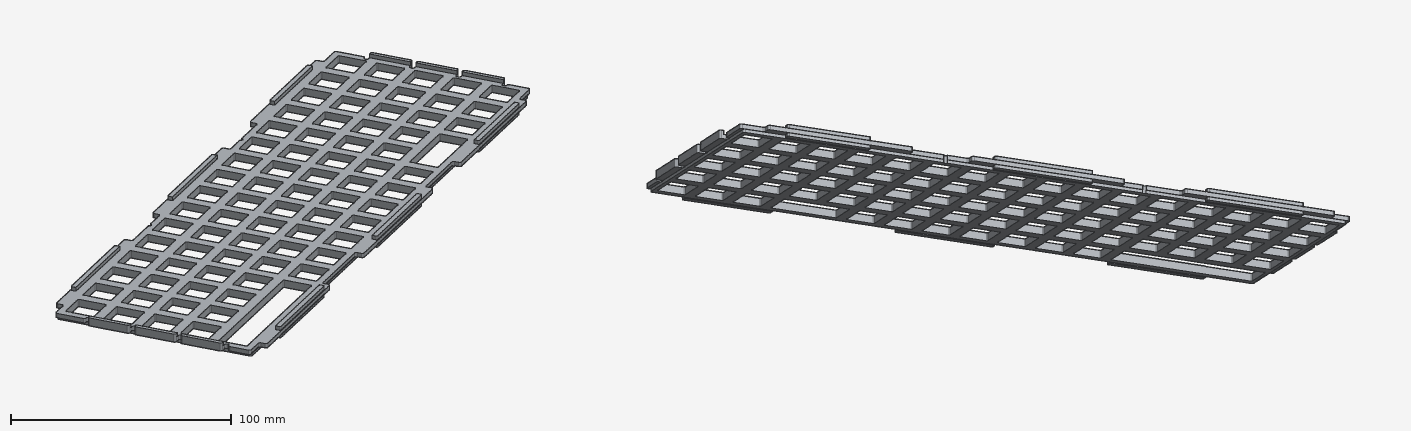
import cadquery as cq
TOTAL_HEIGHT = 5.5
PLATE_BOTTOM = 1.5
PLATE_TOP = 3.7

KEY_PITCH = 19.05
KEY_OPENING = 14.0
COLUMNS = 5
ROWS = 16
KEY_CORNER = 0.47
MERGED_ROWS = [(3, 4), (12, 15)]

TOTAL_WIDTH = 105.0
TOTAL_LENGTH = 311.2
PLATE_WIDTH = 97.0
PLATE_LENGTH = 307.2
BASE_WIDTH = 96.5
BASE_LENGTH = 303.7
OUTLINE_CORNER = 1.0

LEFT_TABS = [(68.5, 141.3), (-38.3, 38.5), (-144.0, -68.8)]
RIGHT_TABS = [(68.5, 141.3), (-38.3, 38.5), (-144.0, -74.7)]

PAD_WIDTH = 2.5
PAD_SETBACK = 0.3
PAD_CORNER = 0.5
LEFT_PADS = [(89.5, 131.3), (-22.5, 26.8), (-128.5, -80.3)]
RIGHT_PADS = [(89.5, 133.8), (-22.5, 26.8), (-128.5, -80.3)]

LIP_LENGTH = 20.5
LIP_PITCH = 23.0
LIP_MIDDLE_X = 2.0
LIP_COUNT = 3
NOTCH_BOTTOM_Y = 151.5
END_NOTCH_WIDTH = 2.2

EDGE_NOTCH_Y = 50.0
EDGE_NOTCH_RADIUS = 1.0


def block(x_range, y_range, z_range):
    """Axis-aligned block spanning the given ranges."""
    (x0, x1), (y0, y1), (z0, z1) = x_range, y_range, z_range
    return cq.Workplane("XY").box(x1 - x0, y1 - y0, z1 - z0, centered=False).translate((x0, y0, z0))


def side_range(side, inner, outer):
    """X range between two distances from the middle, on the -X (-1) or +X (+1) side."""
    return tuple(sorted((side * inner, side * outer)))


LIP_CENTERS = [LIP_MIDDLE_X + LIP_PITCH * (i - (LIP_COUNT - 1) / 2) for i in range(LIP_COUNT)]
LIP_SPANS = [(x - LIP_LENGTH / 2, x + LIP_LENGTH / 2) for x in LIP_CENTERS]


def outline_prism():
    """Rounded outline of plate, side tabs and lips, from the plate's underside to full height."""
    z_range = (PLATE_BOTTOM, TOTAL_HEIGHT)
    half_width, half_length = PLATE_WIDTH / 2, PLATE_LENGTH / 2
    prism = block((-half_width, half_width), (-half_length, half_length), z_range)
    for side, tabs in ((-1, LEFT_TABS), (1, RIGHT_TABS)):
        for tab in tabs:
            prism = prism.union(block(side_range(side, 0, TOTAL_WIDTH / 2), tab, z_range))
    notched = (LIP_SPANS[0][0] - END_NOTCH_WIDTH, LIP_SPANS[-1][1] + END_NOTCH_WIDTH)
    for end in (-1, 1):
        prism = prism.cut(block(notched, side_range(end, NOTCH_BOTTOM_Y, TOTAL_LENGTH / 2), z_range))
        for span in LIP_SPANS:
            prism = prism.union(block(span, side_range(end, 0, TOTAL_LENGTH / 2), z_range))
    return prism.edges("|Z").fillet(OUTLINE_CORNER)


def space_above_plate():
    """Space above the plate, between the inner faces of the lips at its two ends."""
    half_width, half_length = TOTAL_WIDTH / 2, PLATE_LENGTH / 2
    return block((-half_width, half_width), (-half_length, half_length), (PLATE_TOP, TOTAL_HEIGHT))


def edge_notches():
    """Small half-round notches in the -X edge of the plate."""
    centers = [(-PLATE_WIDTH / 2, side * EDGE_NOTCH_Y) for side in (-1, 1)]
    return cq.Workplane("XY").pushPoints(centers).circle(EDGE_NOTCH_RADIUS).extrude(TOTAL_HEIGHT)


def gasket_pads():
    """Pads above and below the tabs, with rounded outer corners, reaching the full height."""
    pads = cq.Workplane("XY")
    outer_face = TOTAL_WIDTH / 2 - PAD_SETBACK
    for side, outer_side, spans in ((-1, "<X", LEFT_PADS), (1, ">X", RIGHT_PADS)):
        x_range = side_range(side, outer_face - PAD_WIDTH, outer_face)
        for span in spans:
            pad = block(x_range, span, (0, TOTAL_HEIGHT))
            pads = pads.union(pad.faces(outer_side).edges("|Z").fillet(PAD_CORNER))
    return pads


def row_y(row):
    """Y of the middle of a row of key openings."""
    return KEY_PITCH * ((ROWS - 1) / 2 - row)


def key_openings():
    """Grid of square openings, with some of the +X column merged into long slots."""
    height = 2 * TOTAL_HEIGHT
    grid = cq.Workplane("XY").rarray(KEY_PITCH, KEY_PITCH, COLUMNS, ROWS)
    openings = grid.rect(KEY_OPENING, KEY_OPENING).extrude(height).edges("|Z").fillet(KEY_CORNER)
    last_column_x = KEY_PITCH * (COLUMNS - 1) / 2
    for first, last in MERGED_ROWS:
        length = row_y(first) - row_y(last) + KEY_OPENING
        slot = cq.Workplane("XY").center(last_column_x, (row_y(first) + row_y(last)) / 2)
        slot = slot.rect(KEY_OPENING, length).extrude(height).edges("|Z").fillet(KEY_CORNER)
        openings = openings.union(slot)
    return openings


base = cq.Workplane("XY").rect(BASE_WIDTH, BASE_LENGTH).extrude(PLATE_BOTTOM)
base = base.edges("|Z").fillet(OUTLINE_CORNER)
result = outline_prism().cut(space_above_plate()).union(base)
result = result.union(gasket_pads()).cut(key_openings()).cut(edge_notches())